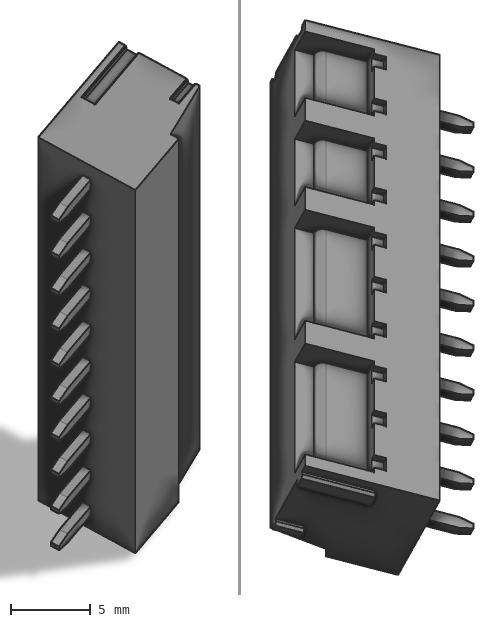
import cadquery as cq


contact_count = 10
contact_groups = [(0, 1), (2, 3), (4, 6), (7, 9)]

body_width = 7.4
body_depth = 9.05
body_height = 38.1
pitch = body_height / contact_count
back_width = 6.15
step_width = 6.75
step_depth = 4.17

pin_length = 3.55
pin_width = 0.93
pin_thickness = 0.6
pin_tip_width = 0.4
pin_taper_length = 0.95
pin_embed = 0.4

pocket_margin = 0.93
pocket_reach = 4.65
recess_reach = 1.28
recess_depth = 1.8
shoulder_radius = 0.58
pocket_depth = recess_depth - shoulder_radius

window_reach = 5.45
window_height = 1.1
window_depth = 0.45

total_height = 38.65
rail_height = total_height - body_height
rail_flare_height = 0.3
neck_narrowing = 0.25
foot_narrowing = 0.3
groove_depth = 0.35
groove_chamfer = 0.08
groove_narrowing = 0.27
wide_rail = {"center": 1.0, "width": 1.05, "length": 4.9}
narrow_rail = {"center": 5.5, "width": 0.7, "length": 1.9}


def contact_z(index):
    """Z of a contact's middle; index 0 is the top contact."""
    return body_height - (index + 0.5) * pitch


def make_body():
    """Block with a stepped, sloping +X side."""
    outline = [
        (0, 0),
        (body_width, 0),
        (body_width, body_depth - step_depth),
        (step_width, body_depth - step_depth),
        (back_width, body_depth),
        (0, body_depth),
    ]
    return cq.Workplane("XY").polyline(outline).close().extrude(body_height)


def make_pin(z):
    """Flat solder pin whose width tapers to its tip."""
    half_width = pin_width / 2
    half_tip = pin_tip_width / 2
    taper_start = pin_taper_length - pin_length
    outline = [
        (pin_embed, z - half_width),
        (taper_start, z - half_width),
        (-pin_length, z - half_tip),
        (-pin_length, z + half_tip),
        (taper_start, z + half_width),
        (pin_embed, z + half_width),
    ]
    pin = cq.Workplane("YZ").polyline(outline).close().extrude(pin_thickness)
    return pin.translate(((body_width - pin_thickness) / 2, 0, 0))


def make_pocket(first, last):
    """Stepped pocket spanning a contact group, deepest at the back."""
    bottom = contact_z(last) - pocket_margin
    top = contact_z(first) + pocket_margin
    shoulder_start = body_depth - recess_reach
    pocket_end = body_depth - pocket_reach
    return (
        cq.Workplane("XY", origin=(0, 0, bottom))
        .moveTo(0, body_depth)
        .lineTo(recess_depth, body_depth)
        .lineTo(recess_depth, shoulder_start)
        .radiusArc((pocket_depth, shoulder_start - shoulder_radius), -shoulder_radius)
        .lineTo(pocket_depth, pocket_end)
        .lineTo(0, pocket_end)
        .close()
        .extrude(top - bottom)
    )


def make_window(z):
    """Shallow notch continuing a pocket towards -Y."""
    window = cq.Workplane("XY").box(
        window_depth, window_reach - pocket_reach, window_height, centered=(False, False, True)
    )
    return window.translate((0, body_depth - window_reach, z))


def make_bar(center, length, levels):
    """Bar running along Y from the back face, outlined by (width, z) levels."""
    left_side = [(center - width / 2, z) for width, z in levels]
    right_side = [(center + width / 2, z) for width, z in reversed(levels)]
    bar = cq.Workplane("XZ").polyline(left_side + right_side).close().extrude(length)
    return bar.translate((0, body_depth, 0))


def make_rail(center, width, length):
    """Rail that widens downwards from its neck, then narrows to its foot."""
    levels = [
        (width - neck_narrowing, 0),
        (width, -rail_flare_height),
        (width - foot_narrowing, -rail_height),
    ]
    return make_bar(center, length, levels)


def make_groove(center, width, length):
    """Groove with a chamfered mouth, tapering to its floor."""
    levels = [
        (width, body_height),
        (width - 2 * groove_chamfer, body_height - groove_chamfer),
        (width - groove_narrowing, body_height - groove_depth),
    ]
    return make_bar(center, length, levels)


result = make_body()

for rail_size in (wide_rail, narrow_rail):
    result = result.cut(make_groove(**rail_size))
    result = result.union(make_rail(**rail_size))

for first_contact, last_contact in contact_groups:
    result = result.cut(make_pocket(first_contact, last_contact))

for contact in range(contact_count):
    result = result.cut(make_window(contact_z(contact)))
    result = result.union(make_pin(contact_z(contact)))